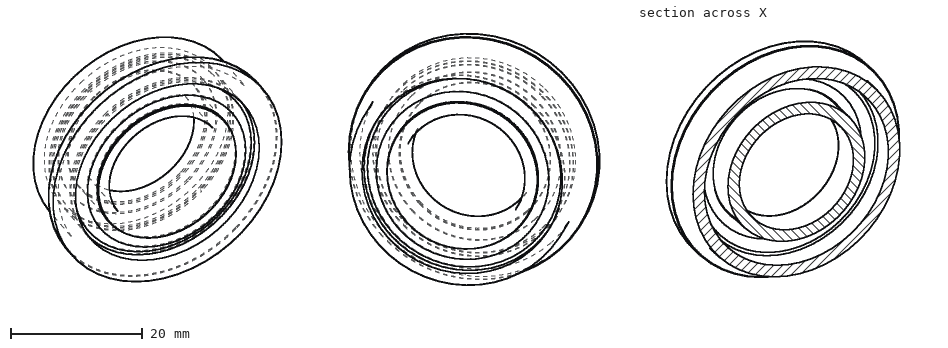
import cadquery as cq

width = 11.1
flange_radius = 19.2
outer_ring_radius = 17.45
bore_radius = 9.55

flange_thickness = 1.75
flange_edge_chamfer = 0.1
flange_fillet = 0.3

outer_ring_bore_radius = 15.45
inner_ring_radius = 11.55
ring_edge_fillet = 0.5

shield_clearance = 0.095
shield_inner_radius = inner_ring_radius + shield_clearance
shield_rim_depth = 1.65
shield_crown_depth = 0.25
shield_thickness = 0.4
shield_cone_outer_radius = 14.9
shield_cone_inner_radius = 13.3

left_end = -width / 2
right_end = width / 2
flange_left_face = right_end - flange_thickness


def revolve_about_x(profile):
    """Close an XY profile and turn it a full revolution about the bearing axis."""
    return profile.close().revolve(360.0, (0, 0, 0), (1, 0, 0))


def make_outer_ring():
    profile = (
        cq.Workplane("XY")
        .moveTo(left_end, outer_ring_bore_radius)
        .lineTo(left_end, outer_ring_radius - ring_edge_fillet)
        .radiusArc((left_end + ring_edge_fillet, outer_ring_radius), ring_edge_fillet)
        .lineTo(flange_left_face - flange_fillet, outer_ring_radius)
        .radiusArc((flange_left_face, outer_ring_radius + flange_fillet), -flange_fillet)
        .lineTo(flange_left_face, flange_radius - flange_edge_chamfer)
        .lineTo(flange_left_face + flange_edge_chamfer, flange_radius)
        .lineTo(right_end, flange_radius)
        .lineTo(right_end, outer_ring_bore_radius)
    )
    return revolve_about_x(profile)


def make_inner_ring():
    profile = (
        cq.Workplane("XY")
        .moveTo(left_end, inner_ring_radius)
        .lineTo(right_end, inner_ring_radius)
        .lineTo(right_end, bore_radius + ring_edge_fillet)
        .radiusArc((right_end - ring_edge_fillet, bore_radius), ring_edge_fillet)
        .lineTo(left_end + ring_edge_fillet, bore_radius)
        .radiusArc((left_end, bore_radius + ring_edge_fillet), ring_edge_fillet)
    )
    return revolve_about_x(profile)


def make_shield(side):
    """Shield at the -X end for side = -1, at the +X end for side = 1."""
    rim_x = side * (width / 2 - shield_rim_depth)
    crown_x = side * (width / 2 - shield_crown_depth)
    rim_back_x = rim_x - side * shield_thickness
    crown_back_x = crown_x - side * shield_thickness
    profile = (
        cq.Workplane("XY")
        .moveTo(rim_x, outer_ring_bore_radius)
        .lineTo(rim_x, shield_cone_outer_radius)
        .lineTo(crown_x, shield_cone_inner_radius)
        .lineTo(crown_x, shield_inner_radius)
        .lineTo(crown_back_x, shield_inner_radius)
        .lineTo(crown_back_x, shield_cone_inner_radius)
        .lineTo(rim_back_x, shield_cone_outer_radius)
        .lineTo(rim_back_x, outer_ring_bore_radius)
    )
    return revolve_about_x(profile)


outer_ring = make_outer_ring()
inner_ring = make_inner_ring()
shields = [make_shield(side) for side in (-1, 1)]

result = cq.Compound.makeCompound(
    [outer_ring.val(), inner_ring.val(), *[shield.val() for shield in shields]]
)